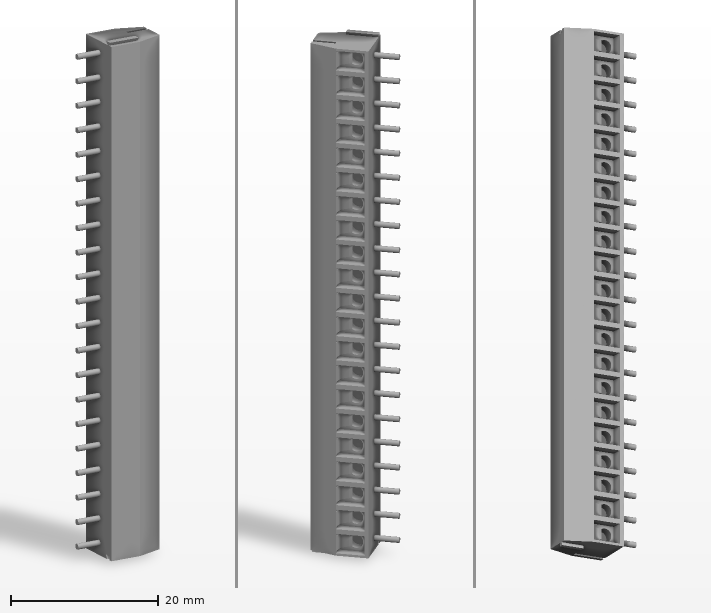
import cadquery as cq

POLE_COUNT = 21
PITCH = 3.5
HOUSING_LENGTH = POLE_COUNT * PITCH

HOUSING_WIDTH = 6.8
HOUSING_DEPTH = 8.4
SHOULDER_DEPTH = 4.55
TOP_WIDTH = 4.2
SIDE_X = -HOUSING_WIDTH / 2

OVERALL_DEPTH = 11.9
PIN_DIAMETER = 0.8
PIN_LENGTH = OVERALL_DEPTH - HOUSING_DEPTH
PIN_X = 0.1

POCKET_DEPTH = 1.6
POCKET_HEIGHT = 2.8
POCKET_BOTTOM = 0.56
POCKET_DRAFT = 0.185
POCKET_BACK_X = SIDE_X + POCKET_DEPTH

WIRE_HOLE_DIAMETER = 1.9
WIRE_HOLE_DEPTH = 1.5
WIRE_HOLE_Y = 2.1

LEAF_THICKNESS = 0.11
LEAF_ROOT_RISE = 1.4
LEAF_ROOT_LENGTH = 0.335
LEAF_ROOT_WIDTH = 2.15
LEAF_TIP_WIDTH = 1.4
LEAF_BEND_Y = 3.05
LEAF_TIP_Y = 2.6
LEAF_TIP_DROP = 0.1

RIB_HEIGHT = 0.485
RIB_NECK_WIDTH = 0.4
LOW_RIB_HEAD_WIDTH = 1.0
HIGH_RIB_HEAD_WIDTH = 0.75
GROOVE_CLEARANCE = 0.1
LOW_RIB_X = 2.5
HIGH_RIB_X = -1.1
HIGH_RIB_LENGTH = 3.3


def make_housing():
    half_width = HOUSING_WIDTH / 2
    half_top = TOP_WIDTH / 2
    return (
        cq.Workplane("XY")
        .polyline([
            (-half_width, 0),
            (half_width, 0),
            (half_width, SHOULDER_DEPTH),
            (half_top, HOUSING_DEPTH),
            (-half_top, HOUSING_DEPTH),
            (-half_width, SHOULDER_DEPTH),
        ])
        .close()
        .extrude(HOUSING_LENGTH)
    )


def make_leaf():
    """Bent leaf profile along Y, trimmed to a width that tapers towards the tip."""
    front_x = POCKET_BACK_X - LEAF_THICKNESS
    profile = (
        cq.Workplane("XY")
        .polyline([
            (front_x - LEAF_ROOT_RISE, SHOULDER_DEPTH),
            (front_x, SHOULDER_DEPTH - LEAF_ROOT_LENGTH),
            (front_x, LEAF_BEND_Y),
            (front_x + LEAF_TIP_DROP, LEAF_TIP_Y),
            (POCKET_BACK_X + LEAF_TIP_DROP, LEAF_TIP_Y),
            (POCKET_BACK_X, LEAF_BEND_Y),
            (POCKET_BACK_X, SHOULDER_DEPTH),
        ])
        .close()
        .extrude(PITCH / 2, both=True)
    )
    half_root = LEAF_ROOT_WIDTH / 2
    half_tip = LEAF_TIP_WIDTH / 2
    taper_start = SHOULDER_DEPTH - LEAF_ROOT_LENGTH
    outline = (
        cq.Workplane("YZ", origin=(SIDE_X, 0, 0))
        .polyline([
            (SHOULDER_DEPTH, -half_root),
            (SHOULDER_DEPTH, half_root),
            (taper_start, half_root),
            (LEAF_TIP_Y, half_tip),
            (LEAF_TIP_Y, -half_tip),
            (taper_start, -half_root),
        ])
        .close()
        .extrude(HOUSING_WIDTH)
    )
    return profile.intersect(outline)


def make_pole_cavity():
    """Pocket and wire hole of one pole centred on z = 0, with the leaf left standing."""
    pocket = (
        cq.Workplane("XY")
        .polyline([
            (SIDE_X, SHOULDER_DEPTH),
            (SIDE_X, POCKET_BOTTOM),
            (POCKET_BACK_X, POCKET_BOTTOM + POCKET_DRAFT),
            (POCKET_BACK_X, SHOULDER_DEPTH),
        ])
        .close()
        .extrude(POCKET_HEIGHT / 2, both=True)
    )
    wire_hole = (
        cq.Workplane("YZ", origin=(POCKET_BACK_X, 0, 0))
        .center(WIRE_HOLE_Y, 0)
        .circle(WIRE_HOLE_DIAMETER / 2)
        .extrude(WIRE_HOLE_DEPTH)
    )
    return pocket.union(wire_hole).cut(make_leaf())


def make_pin():
    return (
        cq.Workplane("XZ")
        .center(PIN_X, 0)
        .circle(PIN_DIAMETER / 2)
        .extrude(PIN_LENGTH)
    )


def make_dovetail(center_x, head_width, start_y, end_y, clearance=0):
    """Dovetail bar along Y, narrow at z = 0 and wide at its top; clearance enlarges it for a groove."""
    half_neck = RIB_NECK_WIDTH / 2 + clearance
    half_head = head_width / 2 + clearance
    height = RIB_HEIGHT + clearance
    return (
        cq.Workplane("XZ", origin=(center_x, end_y, 0))
        .polyline([
            (-half_neck, 0),
            (half_neck, 0),
            (half_head, height),
            (-half_head, height),
        ])
        .close()
        .extrude(end_y - start_y)
    )


def make_low_dovetail(clearance=0):
    return make_dovetail(LOW_RIB_X, LOW_RIB_HEAD_WIDTH, 0, SHOULDER_DEPTH, clearance)


def make_high_dovetail(clearance=0):
    """Dovetail near the top of the housing, pointing down."""
    start_y = HOUSING_DEPTH - HIGH_RIB_LENGTH
    bar = make_dovetail(HIGH_RIB_X, HIGH_RIB_HEAD_WIDTH, start_y, HOUSING_DEPTH, clearance)
    return bar.mirror("XY")


result = make_housing()

pole_cavity = make_pole_cavity()
pin = make_pin()
for pole in range(POLE_COUNT):
    pole_offset = (0, 0, (pole + 0.5) * PITCH)
    result = result.cut(pole_cavity.translate(pole_offset))
    result = result.union(pin.translate(pole_offset))

end_offset = (0, 0, HOUSING_LENGTH)
result = result.cut(make_low_dovetail(GROOVE_CLEARANCE))
result = result.cut(make_high_dovetail(GROOVE_CLEARANCE).translate(end_offset))
result = result.union(make_low_dovetail().translate(end_offset))
result = result.union(make_high_dovetail())